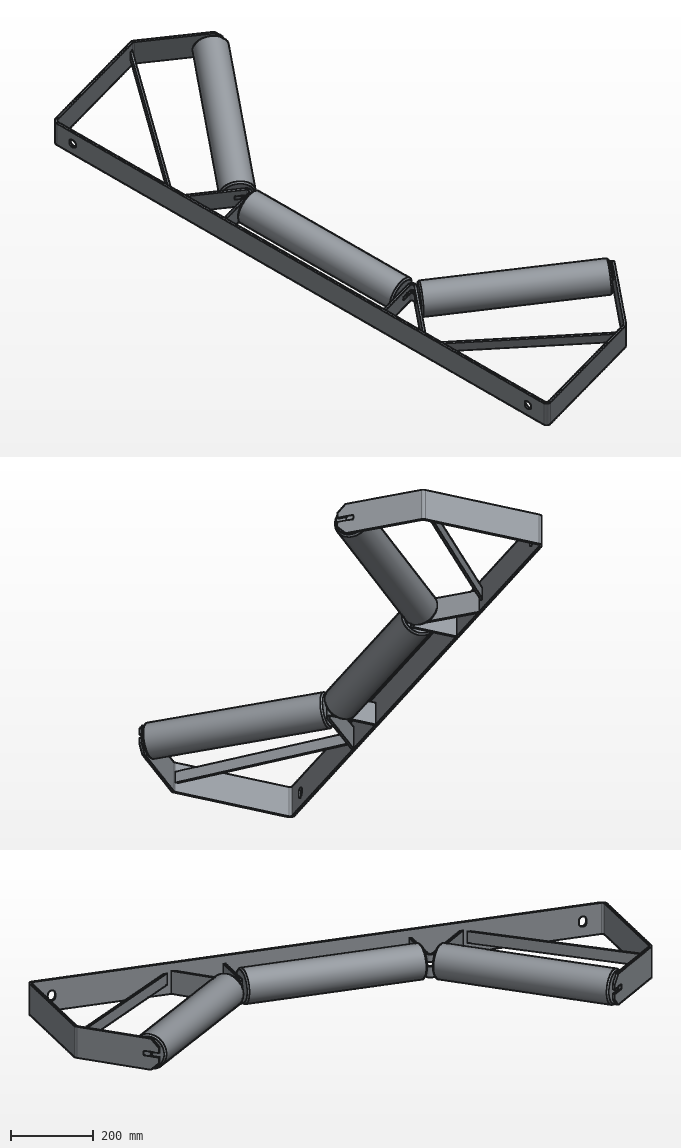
import cadquery as cq
import math

FRAME_LENGTH = 1490.0
STRIP_THICKNESS = 6.0
STRIP_HEIGHT = 80.0
BEND_RADIUS = 9.0
SHOULDER_Y = 316.0
ARM_TOP_Y = 474.0
ARM_CHAMFER = 21.0
TROUGH_ANGLE = 45.0

MOUNT_SLOT_X = 685.0
MOUNT_SLOT_WIDTH = 20.0
MOUNT_SLOT_HEIGHT = 27.0
MOUNT_SLOT_Z = -1.0

BRACE_FOOT_X = 387.0
BRACE_TOP_Y = 311.0
BRACE_HEIGHT = 30.0

BRACKET_UPRIGHT_X = 240.0
BRACKET_FOOT_X = 372.0
BRACKET_HEIGHT = 60.0

ROLLER_DIAMETER = 90.0
ROLLER_LENGTH = 465.0
ROLLER_CHAMFER = 5.0
SHAFT_DIAMETER = 20.0
SHAFT_FLATS = 12.0
CENTRE_ROLLER_Y = 100.0
CENTRE_ROLLER_Z = -6.0
WING_ROLLER_X = 438.0
WING_ROLLER_Y = 279.0
WING_ROLLER_Z = -3.0
WING_TILT = 0.8

SUPPORT_SPACING = 2 * BRACKET_UPRIGHT_X
SHAFT_LENGTH = SUPPORT_SPACING + STRIP_THICKNESS
HALF_THICKNESS = STRIP_THICKNESS / 2
WALL_X = FRAME_LENGTH / 2 - HALF_THICKNESS
SLOPE = math.radians(TROUGH_ANGLE)
SLOT_LENGTH = 2 * SHAFT_DIAMETER
SLOT_DEPTH = 3 * STRIP_THICKNESS
SIDES = (-1, 1)


def rod(diameter, length):
    """Cylinder along X, centred on the origin."""
    section = cq.Workplane("YZ", origin=(-length / 2, 0, 0))
    return section.circle(diameter / 2).extrude(length)


def bent_strip(points, height):
    """Strip of constant thickness that follows a bent line in the XY plane."""
    line = cq.Wire.makePolygon([cq.Vector(x, y, 0) for x, y in points])
    path = line.fillet(BEND_RADIUS, line.Vertices()[1:-1])
    start = cq.Vector(*points[0], 0)
    direction = cq.Vector(*points[1], 0) - start
    section = cq.Workplane(cq.Plane(start, cq.Vector(0, 0, 1), direction))
    return section.rect(height, STRIP_THICKNESS).sweep(cq.Workplane(obj=path))


def place_centre(body):
    """Move a body from the roller's own axes to the centre roller."""
    return body.translate((0, CENTRE_ROLLER_Y, CENTRE_ROLLER_Z))


def place_wing(body, side):
    """Move a body from the roller's own axes (X along the shaft) to one wing."""
    return (
        body.rotate((0, 0, 0), (0, 1, 0), -side * WING_TILT)
        .rotate((0, 0, 0), (0, 0, 1), side * TROUGH_ANGLE)
        .translate((side * WING_ROLLER_X, WING_ROLLER_Y, WING_ROLLER_Z))
    )


def make_flatted_shaft(length):
    """Shaft along X with two flats that face +Z and -Z."""
    flats = cq.Workplane().box(length, SHAFT_DIAMETER, SHAFT_FLATS)
    return rod(SHAFT_DIAMETER, length).intersect(flats)


def make_roller():
    """Roller with its shaft, lying along X about the origin."""
    drum = rod(ROLLER_DIAMETER, ROLLER_LENGTH).edges().chamfer(ROLLER_CHAMFER)
    return drum.union(make_flatted_shaft(SHAFT_LENGTH))


def make_shaft_slots():
    """Two slots, open towards +Y and shaped below like the shaft, for the ends of one shaft."""
    open_part = cq.Workplane().box(SLOT_DEPTH, SLOT_LENGTH, SHAFT_FLATS).translate((0, SLOT_LENGTH / 2, 0))
    slot = make_flatted_shaft(SLOT_DEPTH).union(open_part)
    return [slot.translate((side * SUPPORT_SPACING / 2, 0, 0)) for side in SIDES]


def cut_wing_slots(body, side):
    """Cut the slots that hold the shaft of one wing roller."""
    for slot in make_shaft_slots():
        body = body.cut(place_wing(slot, side))
    return body


def make_corner_cutters(side, arm_end):
    """Wedges that take off the two corners at the end of one arm."""
    along_arm = cq.Vector(-side * math.cos(SLOPE), math.sin(SLOPE), 0)
    across_thickness = cq.Vector(side * math.sin(SLOPE), math.cos(SLOPE), 0)
    arm_plane = cq.Workplane(cq.Plane(cq.Vector(*arm_end, 0), along_arm, across_thickness))
    corner = STRIP_HEIGHT / 2
    return [
        arm_plane.moveTo(0, edge * corner)
        .lineTo(-ARM_CHAMFER, edge * corner)
        .lineTo(0, edge * (corner - ARM_CHAMFER))
        .close()
        .extrude(STRIP_THICKNESS, both=True)
        for edge in SIDES
    ]


def make_frame():
    """Base, upright walls and sloping arms, bent from one strip."""
    arm_end_y = ARM_TOP_Y - HALF_THICKNESS * math.cos(SLOPE)
    arm_end_x = WALL_X - (arm_end_y - SHOULDER_Y) / math.tan(SLOPE)
    right_half = [
        (WALL_X, HALF_THICKNESS),
        (WALL_X, SHOULDER_Y),
        (arm_end_x, arm_end_y),
    ]
    left_half = [(-x, y) for x, y in reversed(right_half)]
    frame = bent_strip(left_half + right_half, STRIP_HEIGHT)
    mount_slots = (
        cq.Workplane("XZ", origin=(0, 0, MOUNT_SLOT_Z))
        .pushPoints([(side * MOUNT_SLOT_X, 0) for side in SIDES])
        .slot2D(MOUNT_SLOT_HEIGHT, MOUNT_SLOT_WIDTH, 90)
        .extrude(-STRIP_THICKNESS)
    )
    frame = frame.cut(mount_slots)
    for side in SIDES:
        for cutter in make_corner_cutters(side, (side * arm_end_x, arm_end_y)):
            frame = frame.cut(cutter)
        frame = cut_wing_slots(frame, side)
    return frame


def make_bracket(side):
    """Upright leg for the centre roller, bent over into a sloping leg for the wing roller."""
    foot_run = BRACKET_FOOT_X - BRACKET_UPRIGHT_X
    apex_y = STRIP_THICKNESS + foot_run * math.tan(SLOPE)
    bend_line = [
        (side * BRACKET_UPRIGHT_X, 0),
        (side * BRACKET_UPRIGHT_X, apex_y),
        (side * (BRACKET_FOOT_X + STRIP_THICKNESS / math.tan(SLOPE)), 0),
    ]
    lowering = (STRIP_HEIGHT - BRACKET_HEIGHT) / 2
    bracket = bent_strip(bend_line, BRACKET_HEIGHT).translate((0, 0, -lowering))
    base = cq.Workplane().box(FRAME_LENGTH, 2 * STRIP_THICKNESS, STRIP_HEIGHT)
    bracket = bracket.cut(base)
    for slot in make_shaft_slots():
        bracket = bracket.cut(place_centre(slot))
    return cut_wing_slots(bracket, side)


def make_brace(side):
    """Flat diagonal bar from the wall down to the base, trimmed to lie flush on both."""
    wall_face = FRAME_LENGTH / 2 - STRIP_THICKNESS
    rise = BRACE_TOP_Y - STRIP_THICKNESS
    run = wall_face - BRACE_FOOT_X
    length = math.hypot(rise, run)
    wall_trim = STRIP_THICKNESS * length / run
    base_trim = STRIP_THICKNESS * length / rise
    outline = [
        (side * BRACE_FOOT_X, STRIP_THICKNESS),
        (side * wall_face, BRACE_TOP_Y),
        (side * wall_face, BRACE_TOP_Y - wall_trim),
        (side * (BRACE_FOOT_X + base_trim), STRIP_THICKNESS),
    ]
    return cq.Workplane(origin=(0, 0, -BRACE_HEIGHT / 2)).polyline(outline).close().extrude(BRACE_HEIGHT)


frame = make_frame()
brackets = [make_bracket(side) for side in SIDES]
braces = [make_brace(side) for side in SIDES]
centre_roller = place_centre(make_roller())
wing_rollers = [place_wing(make_roller(), side) for side in SIDES]

bodies = [frame, *brackets, *braces, centre_roller, *wing_rollers]
result = cq.Compound.makeCompound([body.val() for body in bodies])